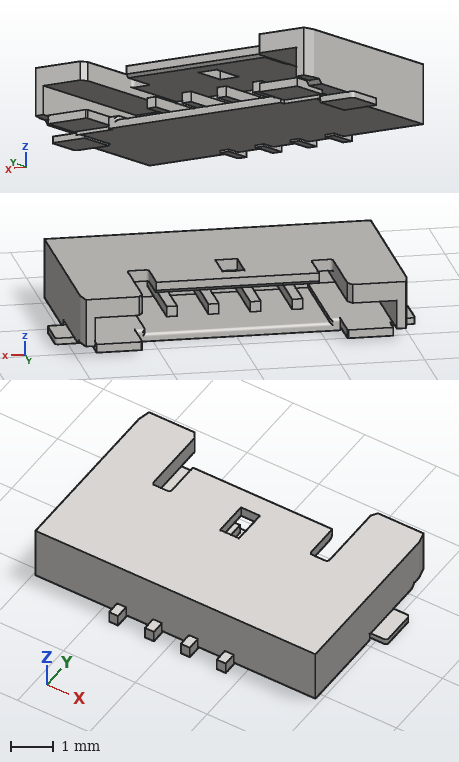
import cadquery as cq

total_height = 1.5
total_length = 5.19
housing_width = 7.8
half_width = housing_width / 2
base_z = 0.05
pin_reach = 0.35
arm_tip_y = total_length - pin_reach
edge_y = 3.8

arm_inner_x = 2.45
tip_outer_bevel_x = 0.08
tip_outer_bevel_y = 0.31
tip_inner_bevel_x = 0.1
tip_inner_bevel_y = 0.155

slot_inner_x = 1.94
slot_end_y = 2.81
slot_corner_radius = 0.08

rear_wall = 1.0
tongue_underside_z = 1.22
arm_underside_z = 1.04
floor_z = 0.25
ledge_z = 0.34
ledge_inner_x = 2.21
cavity_half_width = 3.6
lead_in = 0.08

foot_tip_y = 4.71
foot_base_z = 0.14
foot_start_y = 3.66
foot_outer_x = 3.54

relief_inner_x = 3.35
relief_rear_y = 2.37
relief_z = 0.24
wall_step_y = 4.32
wall_rise = ledge_z - relief_z
relief_corner_radius = 0.11

window_width = 0.525
window_rear_y = 2.36
window_front_y = 3.27

tab_outer_x = 4.3
tab_rear_y = 2.485
tab_length = 1.0
tab_thickness = 0.155
tab_corner_radius = 0.08

pin_count = 4
pin_pitch = 1.0
pin_width = 0.25
pin_height = 0.31
pin_length_inside = 0.39
contact_tip_y = 3.405
contact_top_z = 0.76


def block(x0, x1, y0, y1, z0, z1):
    """Box between two opposite corners."""
    return cq.Workplane("XY").box(x1 - x0, y1 - y0, z1 - z0, centered=False).translate((x0, y0, z0))


def both_sides(shape):
    """The shape together with its mirror image across x = 0."""
    return shape.union(shape.mirror("YZ"))


def housing_block():
    """Solid housing with two bevelled arms in front."""
    body = block(-half_width, half_width, 0, arm_tip_y, base_z, total_height)
    gap = block(-arm_inner_x, arm_inner_x, edge_y, arm_tip_y, base_z, total_height)
    outer_bevel = (
        cq.Workplane("XY")
        .moveTo(half_width, arm_tip_y - tip_outer_bevel_y)
        .lineTo(half_width, arm_tip_y)
        .lineTo(half_width - tip_outer_bevel_x, arm_tip_y)
        .close()
        .extrude(total_height)
    )
    inner_bevel = (
        cq.Workplane("XY")
        .moveTo(arm_inner_x, arm_tip_y - tip_inner_bevel_y)
        .lineTo(arm_inner_x, arm_tip_y)
        .lineTo(arm_inner_x + tip_inner_bevel_x, arm_tip_y)
        .close()
        .extrude(total_height)
    )
    return body.cut(gap).cut(both_sides(outer_bevel.union(inner_bevel)))


def cavity():
    """Plug cavity: deep in the middle, shallower between floor and roof below the arms."""
    middle = block(-ledge_inner_x, ledge_inner_x, rear_wall, arm_tip_y, floor_z, arm_underside_z)
    wide = block(-cavity_half_width, cavity_half_width, rear_wall, arm_tip_y, ledge_z, arm_underside_z)
    upper = block(-arm_inner_x, arm_inner_x, rear_wall, edge_y, arm_underside_z, tongue_underside_z)
    return middle.union(wide).union(upper)


def round_floor_edge(body):
    """Round the front edge of the stepped floor between the arms."""
    edge_finder = cq.selectors.BoxSelector(
        (-arm_inner_x, edge_y - lead_in / 2, floor_z - lead_in / 2),
        (arm_inner_x, edge_y + lead_in / 2, ledge_z + lead_in / 2),
    )
    return body.edges(edge_finder).edges("|X or |Z").fillet(lead_in)


def roof_edge_bevel():
    """Wedge that bevels the lower front edge of the roof tongue."""
    return (
        cq.Workplane("YZ")
        .moveTo(edge_y - lead_in, tongue_underside_z)
        .lineTo(edge_y, tongue_underside_z)
        .lineTo(edge_y, tongue_underside_z + lead_in)
        .close()
        .extrude(arm_inner_x, both=True)
    )


def relief_slots():
    """Slots through the roof that free the tongue from the arms."""
    slot = block(slot_inner_x, arm_inner_x, slot_end_y, edge_y, arm_underside_z, total_height)
    return both_sides(slot.edges("|Z and <Y").fillet(slot_corner_radius))


def underside_reliefs():
    """Space below the arms: around the tabs and in front of the floor."""
    tab_space = block(relief_inner_x, half_width, relief_rear_y, foot_start_y, base_z, relief_z)
    tab_space = tab_space.edges("|Z and <X").fillet(relief_corner_radius)
    beside_foot = block(foot_outer_x, half_width, foot_start_y, arm_tip_y, base_z, relief_z)
    tip_rise = (
        cq.Workplane("YZ")
        .workplane(offset=foot_outer_x)
        .moveTo(wall_step_y - wall_rise, relief_z)
        .lineTo(wall_step_y, ledge_z)
        .lineTo(arm_tip_y, ledge_z)
        .lineTo(arm_tip_y, relief_z)
        .close()
        .extrude(half_width - foot_outer_x)
    )
    below_foot = block(arm_inner_x, half_width, foot_start_y, arm_tip_y, base_z, foot_base_z)
    before_foot = block(arm_inner_x, half_width, foot_tip_y, arm_tip_y, base_z, ledge_z)
    return both_sides(tab_space.union(beside_foot).union(tip_rise).union(below_foot).union(before_foot))


def latch_window():
    """Rectangular opening through the roof."""
    return block(
        -window_width / 2, window_width / 2, window_rear_y, window_front_y, tongue_underside_z, total_height
    )


def solder_tabs():
    """Flat tabs on the seating plane, rounded at their outer corners."""
    tab = block(relief_inner_x, tab_outer_x, tab_rear_y, tab_rear_y + tab_length, 0, tab_thickness)
    return both_sides(tab.edges("|Z and >X").fillet(tab_corner_radius))


def pins():
    """Row of pins, each with a solder foot and a square contact inside the cavity."""
    row = cq.Workplane("XY")
    for index in range(pin_count):
        x = (index - (pin_count - 1) / 2) * pin_pitch
        left = x - pin_width / 2
        right = x + pin_width / 2
        row = row.union(block(left, right, -pin_reach, pin_length_inside, 0, pin_height))
        row = row.union(block(left, right, 0, contact_tip_y, contact_top_z - pin_width, contact_top_z))
    return row


housing = (
    round_floor_edge(housing_block().cut(cavity()))
    .cut(roof_edge_bevel())
    .cut(relief_slots())
    .cut(underside_reliefs())
    .cut(latch_window())
)
result = housing.union(solder_tabs()).union(pins())